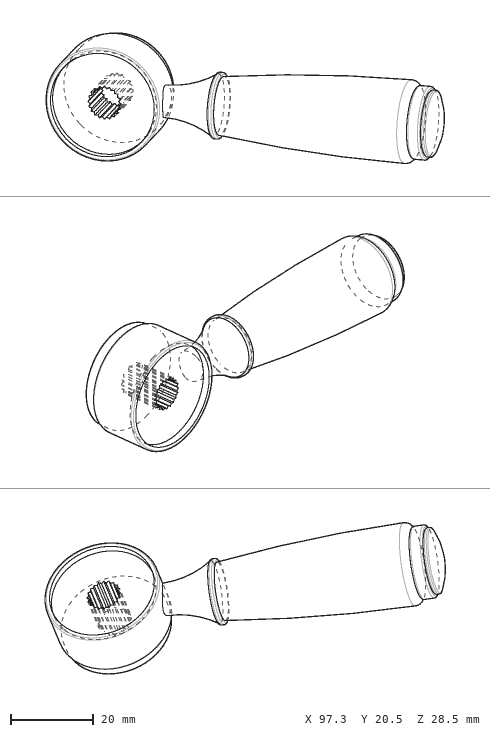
import cadquery as cq
import math


HUB_RADIUS = 14.24
HUB_FRONT_Y = -7.1
HUB_LENGTH = 13.0
HUB_BACK_Y = HUB_FRONT_Y + HUB_LENGTH
HUB_EDGE_FILLET = 0.4
RECESS_RADIUS = 13.0
RECESS_DEPTH = 1.9

SPLINE_TEETH = 20
SPLINE_ROOT_RADIUS = 4.15
SPLINE_TIP_RADIUS = 3.6

CAP_RADIUS = 13.4
CAP_HEIGHT = 3.1
CAP_DOME_RISE = 1.35
CAP_EDGE_FILLET = 0.3

COLLAR_START_X = 26.4
COLLAR_LENGTH = 1.5
GRIP_START_X = COLLAR_START_X + COLLAR_LENGTH
GRIP_END_X = 76.6
RING_LENGTH = 3.3
BUTTON_START_X = GRIP_END_X + RING_LENGTH
LEVER_END_X = 83.04

NECK_HUB_RADIUS = 3.96
NECK_COLLAR_RADIUS = 7.7
COLLAR_RADIUS = 8.1
GRIP_START_RADIUS = 7.15
GRIP_END_RADIUS = 10.17
GRIP_END_FILLET = 2.0
RING_RADIUS = 8.95
RING_EDGE_FILLET = 0.45
BUTTON_RADIUS = 8.15
BUTTON_EDGE_FILLET = 0.4
BUTTON_DOME_RADIUS = 17.4


def y_cylinder(radius, start_y, length):
    """Solid cylinder about the Y axis, growing toward +Y."""
    plane = cq.Plane(origin=(0, start_y, 0), xDir=(1, 0, 0), normal=(0, 1, 0))
    return cq.Workplane(plane).circle(radius).extrude(length)


def turned_about_x(profile):
    """Full turn of a closed XY half-profile about the X axis."""
    return profile.close().revolve(360, (0, 0, 0), (1, 0, 0))


def rising_arc_radius(run, rise):
    """Radius of an arc that starts parallel to the axis and rises over the given run."""
    return (run ** 2 + rise ** 2) / (2 * rise)


def spline_bore():
    """Cutter with pointed teeth, as long as the hub."""
    half_pitch = math.pi / SPLINE_TEETH
    points = []
    for tooth in range(SPLINE_TEETH):
        root_angle = 2 * half_pitch * tooth
        for radius, angle in (
            (SPLINE_ROOT_RADIUS, root_angle),
            (SPLINE_TIP_RADIUS, root_angle + half_pitch),
        ):
            points.append((radius * math.cos(angle), radius * math.sin(angle)))
    plane = cq.Plane(origin=(0, HUB_FRONT_Y, 0), xDir=(1, 0, 0), normal=(0, 1, 0))
    return cq.Workplane(plane).polyline(points).close().extrude(HUB_LENGTH)


def make_hub():
    """Drum with rounded rims, a shallow front recess and a splined bore."""
    drum = y_cylinder(HUB_RADIUS, HUB_FRONT_Y, HUB_LENGTH).edges("%CIRCLE").fillet(HUB_EDGE_FILLET)
    recess = y_cylinder(RECESS_RADIUS, HUB_FRONT_Y, RECESS_DEPTH)
    return drum.cut(recess).cut(spline_bore())


def make_cap():
    """Low-domed disc with rounded rims on the back of the hub."""
    shoulder_y = HUB_BACK_Y + CAP_HEIGHT
    dome_radius = rising_arc_radius(CAP_RADIUS, CAP_DOME_RISE)
    apex_y = shoulder_y + CAP_DOME_RISE
    half_angle = math.asin(CAP_RADIUS / dome_radius) / 2
    dome_middle = (
        dome_radius * math.sin(half_angle),
        apex_y - dome_radius * (1 - math.cos(half_angle)),
    )
    profile = (
        cq.Workplane("XY")
        .moveTo(0, HUB_BACK_Y)
        .lineTo(CAP_RADIUS, HUB_BACK_Y)
        .lineTo(CAP_RADIUS, shoulder_y)
        .threePointArc(dome_middle, (0, apex_y))
        .close()
    )
    cap = profile.revolve(360, (0, 0, 0), (0, 1, 0))
    return cap.edges("%CIRCLE").fillet(CAP_EDGE_FILLET)


def make_neck():
    """Flared stem whose narrow end is saddled onto the side of the hub."""
    stem_start_x = math.sqrt(HUB_RADIUS ** 2 - NECK_HUB_RADIUS ** 2)
    run = COLLAR_START_X - stem_start_x
    rise = NECK_COLLAR_RADIUS - NECK_HUB_RADIUS
    flare_radius = rising_arc_radius(run, rise)
    half_angle = math.asin(run / flare_radius) / 2
    flare_middle = (
        stem_start_x + flare_radius * math.sin(half_angle),
        NECK_HUB_RADIUS + flare_radius * (1 - math.cos(half_angle)),
    )
    profile = (
        cq.Workplane("XY")
        .moveTo(stem_start_x, 0)
        .lineTo(stem_start_x, NECK_HUB_RADIUS)
        .threePointArc(flare_middle, (COLLAR_START_X, NECK_COLLAR_RADIUS))
        .lineTo(COLLAR_START_X, 0)
    )
    return turned_about_x(profile).cut(y_cylinder(HUB_RADIUS, HUB_FRONT_Y, HUB_LENGTH))


def make_rounded_disc(radius, start_x, length):
    """Disc about the X axis with both rims rounded."""
    disc = cq.Workplane("YZ").workplane(offset=start_x).circle(radius).extrude(length)
    return disc.edges("%CIRCLE").fillet(RING_EDGE_FILLET)


def make_grip():
    """Swelling handle, parallel to the axis at its rounded outer end."""
    swell_end_x = GRIP_END_X - GRIP_END_FILLET
    run = swell_end_x - GRIP_START_X
    swell_radius = rising_arc_radius(run, GRIP_END_RADIUS - GRIP_START_RADIUS)
    half_angle = math.asin(run / swell_radius) / 2
    swell_middle = (
        swell_end_x - swell_radius * math.sin(half_angle),
        GRIP_END_RADIUS - swell_radius * (1 - math.cos(half_angle)),
    )
    profile = (
        cq.Workplane("XY")
        .moveTo(GRIP_START_X, 0)
        .lineTo(GRIP_START_X, GRIP_START_RADIUS)
        .threePointArc(swell_middle, (swell_end_x, GRIP_END_RADIUS))
        .radiusArc((GRIP_END_X, GRIP_END_RADIUS - GRIP_END_FILLET), GRIP_END_FILLET)
        .lineTo(GRIP_END_X, 0)
    )
    return turned_about_x(profile)


def make_button():
    """Domed end button with rounded rims."""
    half_angle = math.asin(BUTTON_RADIUS / BUTTON_DOME_RADIUS) / 2
    shoulder_x = LEVER_END_X - BUTTON_DOME_RADIUS * (1 - math.cos(2 * half_angle))
    dome_middle = (
        LEVER_END_X - BUTTON_DOME_RADIUS * (1 - math.cos(half_angle)),
        BUTTON_DOME_RADIUS * math.sin(half_angle),
    )
    profile = (
        cq.Workplane("XY")
        .moveTo(BUTTON_START_X, 0)
        .lineTo(BUTTON_START_X, BUTTON_RADIUS)
        .lineTo(shoulder_x, BUTTON_RADIUS)
        .threePointArc(dome_middle, (LEVER_END_X, 0))
    )
    return turned_about_x(profile).edges("%CIRCLE").fillet(BUTTON_EDGE_FILLET)


hub = make_hub()
cap = make_cap()
neck = make_neck()
collar = make_rounded_disc(COLLAR_RADIUS, COLLAR_START_X, COLLAR_LENGTH)
grip = make_grip()
ring = make_rounded_disc(RING_RADIUS, GRIP_END_X, RING_LENGTH)
button = make_button()

bodies = [hub, cap, neck, collar, grip, ring, button]
result = cq.Compound.makeCompound([body.val() for body in bodies])